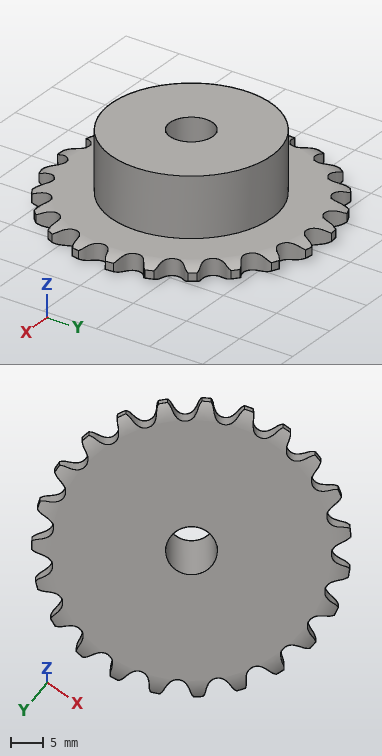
import cadquery as cq
import math

tooth_count = 23
pitch_diameter = 46.65
roller_diameter = 3.3
seat_clearance = 0.075
tip_diameter = 49.4
plate_thickness = 3.0
total_height = 14.0
hub_diameter = 30.0
bore_diameter = 8.0
shoulder_diameter = 43.5
tip_thickness = 1.5
tip_margin = 0.05

half_pitch_angle = math.radians(180 / tooth_count)
seat_angle = math.radians(35 + 60 / tooth_count)
working_angle = math.radians(18 - 56 / tooth_count)
flank_angle = seat_angle - working_angle
working_center_offset = 0.8 * roller_diameter
topping_center_offset = 1.4 * roller_diameter
seat_radius = (1.005 * roller_diameter + seat_clearance) / 2
working_radius = seat_radius + working_center_offset
topping_radius = (
    working_center_offset * math.cos(working_angle)
    + topping_center_offset * math.cos(flank_angle - half_pitch_angle)
    - working_radius
)


def polar(center, radius, angle):
    """Point at a distance and direction (radians) from a center."""
    return (center[0] + radius * math.cos(angle), center[1] + radius * math.sin(angle))


def mirrored(point):
    """The same point on the other side of the Y axis."""
    return (-point[0], point[1])


def tooth_gap():
    """Cutter for the gap centered on +Y: roller seat, working arcs, flats and topping arcs."""
    seat_center = (0, pitch_diameter / 2)
    working_center = polar(seat_center, working_center_offset, math.pi - seat_angle)
    topping_center = polar(seat_center, topping_center_offset, -half_pitch_angle)

    seat_bottom = polar(seat_center, seat_radius, -math.pi / 2)
    seat_end = polar(seat_center, seat_radius, -seat_angle)
    working_mid = polar(working_center, working_radius, -(seat_angle + flank_angle) / 2)
    working_end = polar(working_center, working_radius, -flank_angle)

    topping_start_angle = math.pi - flank_angle
    tip_reach = tip_diameter / 2 + tip_margin
    topping_end_angle = math.pi - math.asin((tip_reach - topping_center[1]) / topping_radius)
    topping_mid_angle = (topping_start_angle + topping_end_angle) / 2
    topping_start = polar(topping_center, topping_radius, topping_start_angle)
    topping_mid = polar(topping_center, topping_radius, topping_mid_angle)
    topping_end = polar(topping_center, topping_radius, topping_end_angle)

    return (
        cq.Workplane("XY")
        .moveTo(*mirrored(seat_end))
        .threePointArc(seat_bottom, seat_end)
        .threePointArc(working_mid, working_end)
        .lineTo(*topping_start)
        .threePointArc(topping_mid, topping_end)
        .lineTo(*mirrored(topping_end))
        .threePointArc(mirrored(topping_mid), mirrored(topping_start))
        .lineTo(*mirrored(working_end))
        .threePointArc(mirrored(working_mid), mirrored(seat_end))
        .close()
        .extrude(plate_thickness)
    )


def plate_blank():
    """Plate whose rim thins toward the tip circle along arcs tangent to the flat faces."""
    shoulder_radius = shoulder_diameter / 2
    run = (tip_diameter - shoulder_diameter) / 2
    drop = (plate_thickness - tip_thickness) / 2
    rim_radius = (run**2 + drop**2) / (2 * drop)
    half_sweep = math.asin(run / rim_radius) / 2
    mid_radius = shoulder_radius + rim_radius * math.sin(half_sweep)
    mid_drop = rim_radius * (1 - math.cos(half_sweep))
    return (
        cq.Workplane("XZ")
        .lineTo(shoulder_radius, 0)
        .threePointArc((mid_radius, mid_drop), (tip_diameter / 2, drop))
        .lineTo(tip_diameter / 2, plate_thickness - drop)
        .threePointArc((mid_radius, plate_thickness - mid_drop), (shoulder_radius, plate_thickness))
        .lineTo(0, plate_thickness)
        .close()
        .revolve(360, (0, 0), (0, 1))
    )


def toothed_plate():
    """Plate blank with the gap cut once per tooth around its axis."""
    plate = plate_blank()
    gap = tooth_gap()
    for index in range(tooth_count):
        plate = plate.cut(gap.rotate((0, 0, 0), (0, 0, 1), index * 360 / tooth_count))
    return plate


hub = cq.Workplane("XY").circle(hub_diameter / 2).extrude(total_height)
bore = cq.Workplane("XY").circle(bore_diameter / 2).extrude(total_height)
result = toothed_plate().union(hub).cut(bore)